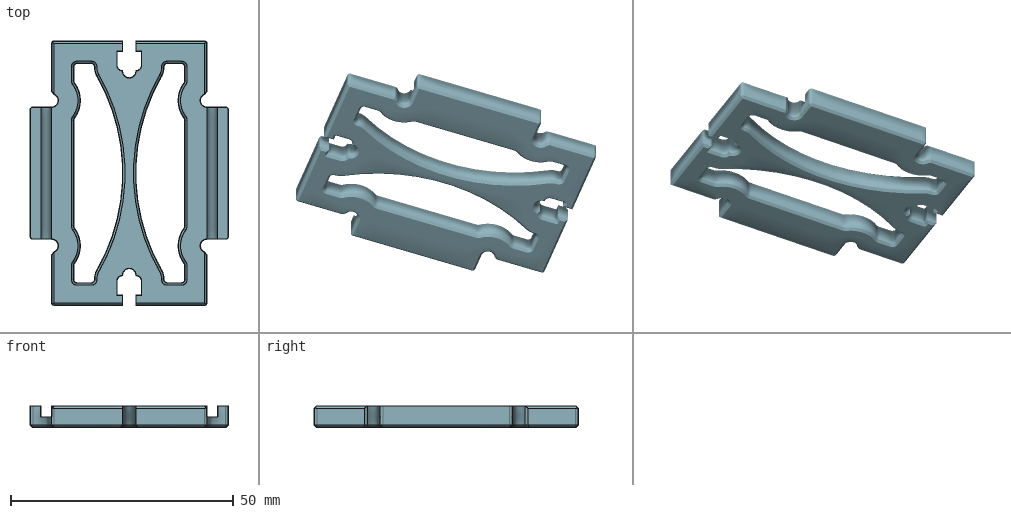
import cadquery as cq
import math

length = 59.5
thickness = 4.8
body_width = 35.0
edge_chamfer = 0.55
chamfer_angle = 45.0
corner_radius = 0.6

overall_width = 44.6
rail_length = 29.75
rail_width = 2.45
groove_depth = 2.45

relief_radius = 1.5
relief_chamfer = 0.6
relief_y = rail_length / 2 + relief_radius

slot_neck_width = 3.0
slot_neck_depth = 2.3
slot_pocket_width = 5.5
slot_pocket_end = 6.65
slot_pocket_radius = 1.2
slot_tip_depth = 8.3

window_half_length = 24.7
window_outer_x = 12.5
window_inner_x = 7.8
web_half_width = 1.5
web_arc_radius = 44.05
bulge_radius = 6.5
window_corner_radius = 0.8
bulge_bend_radius = 1.2
waist_bend_radius = 3.55

body_half_width = body_width / 2
half_length = length / 2


def uprights(x, y):
    """Selectors for the upright edges at (x, y) and its three mirror images."""
    return [
        cq.selectors.NearestToPointSelector((sign_x * x, sign_y * y, thickness / 2))
        for sign_x in (-1, 1)
        for sign_y in (-1, 1)
    ]


def make_plate():
    """Body and rail flanges in one slab, with side reliefs and eased upright corners."""
    body = cq.Workplane("XY").rect(body_width, length).extrude(thickness)
    flanges = cq.Workplane("XY").rect(overall_width, rail_length).extrude(thickness)
    reliefs = (
        cq.Workplane("XY")
        .rect(body_width, 2 * relief_y, forConstruction=True)
        .vertices()
        .circle(relief_radius)
        .extrude(thickness)
    )
    plate = body.union(flanges).cut(reliefs)

    for x, y in [(body_half_width, half_length), (overall_width / 2, rail_length / 2)]:
        for upright in uprights(x, y):
            plate = plate.edges(upright).fillet(corner_radius)
    for upright in uprights(body_half_width, relief_y + relief_radius):
        plate = plate.edges(upright).chamfer(relief_chamfer)
    return plate


def bevel_body_top(plate):
    """Bevel the top rim of the body beyond the rails, leaving the rails square on top."""
    bevelled = (
        cq.Workplane("XY").rect(body_width, length).extrude(thickness)
        .faces(">Z").edges().chamfer(edge_chamfer)
    )
    rail_zone = cq.Workplane("XY").rect(overall_width, 2 * relief_y).extrude(thickness)
    return plate.intersect(bevelled.union(rail_zone))


def flare_bottom(cutter):
    """Widen the bottom of an upright cutter so that it leaves a chamfered lower edge."""
    flare = (
        cq.Workplane("XY")
        .add(cutter.faces("<Z").wires().vals())
        .toPending()
        .offset2D(edge_chamfer)
        .extrude(edge_chamfer, taper=chamfer_angle)
    )
    return cutter.union(flare)


def make_end_slot():
    """Keyhole slot entering from the +Y end: narrow neck, wider pocket, round tip."""
    neck_length = slot_tip_depth - slot_neck_width / 2
    neck = (
        cq.Workplane("XY")
        .center(0, half_length - neck_length / 2)
        .rect(slot_neck_width, neck_length)
        .extrude(thickness)
    )
    tip = (
        cq.Workplane("XY")
        .center(0, half_length - neck_length)
        .circle(slot_neck_width / 2)
        .extrude(thickness)
    )
    pocket = (
        cq.Workplane("XY")
        .center(0, half_length - (slot_neck_depth + slot_pocket_end) / 2)
        .rect(slot_pocket_width, slot_pocket_end - slot_neck_depth)
        .extrude(thickness)
        .edges("|Z and <Y")
        .fillet(slot_pocket_radius)
    )
    return flare_bottom(neck).union(flare_bottom(tip)).union(flare_bottom(pocket))


def make_window():
    """Window on the +X side: waist arc inside, straight outside wall with a bulge at each relief."""
    waist_drop = web_arc_radius - (window_inner_x - web_half_width)
    waist_y = math.sqrt(web_arc_radius**2 - waist_drop**2)
    bulge_y = math.sqrt(bulge_radius**2 - (body_half_width - window_outer_x) ** 2)
    bulge_x = body_half_width - bulge_radius
    window = (
        cq.Workplane("XY")
        .moveTo(window_inner_x, -waist_y)
        .threePointArc((web_half_width, 0), (window_inner_x, waist_y))
        .lineTo(window_inner_x, window_half_length)
        .lineTo(window_outer_x, window_half_length)
        .lineTo(window_outer_x, relief_y + bulge_y)
        .threePointArc((bulge_x, relief_y), (window_outer_x, relief_y - bulge_y))
        .lineTo(window_outer_x, bulge_y - relief_y)
        .threePointArc((bulge_x, -relief_y), (window_outer_x, -relief_y - bulge_y))
        .lineTo(window_outer_x, -window_half_length)
        .lineTo(window_inner_x, -window_half_length)
        .close()
        .extrude(thickness)
    )
    end_corners = window.edges("|Z").edges(">Y or <Y")
    window = end_corners.fillet(window_corner_radius)

    bends = [
        (window_inner_x, waist_y, waist_bend_radius),
        (window_outer_x, relief_y + bulge_y, bulge_bend_radius),
        (window_outer_x, relief_y - bulge_y, bulge_bend_radius),
    ]
    for x, y, radius in bends:
        for sign_y in (-1, 1):
            upright = cq.selectors.NearestToPointSelector((x, sign_y * y, thickness / 2))
            window = window.edges(upright).fillet(radius)
    return window


def make_groove():
    """Square groove between the body and the +X rail, open at both ends."""
    inner_x = body_half_width
    outer_x = overall_width / 2 - rail_width
    return (
        cq.Workplane("XY")
        .workplane(offset=thickness - groove_depth)
        .center((inner_x + outer_x) / 2, 0)
        .rect(outer_x - inner_x, rail_length)
        .extrude(groove_depth)
    )


plate = make_plate()
window = make_window()
plate = plate.cut(window).cut(window.mirror("YZ"))

plate = plate.faces("<Z").edges().chamfer(edge_chamfer)
plate = bevel_body_top(plate)
window_rims = plate.faces(">Z").val().innerWires()
plate = plate.newObject([edge for rim in window_rims for edge in rim.Edges()]).chamfer(edge_chamfer)

end_slot = make_end_slot()
plate = plate.cut(end_slot).cut(end_slot.mirror("XZ"))

groove = make_groove()
result = plate.cut(groove).cut(groove.mirror("YZ"))